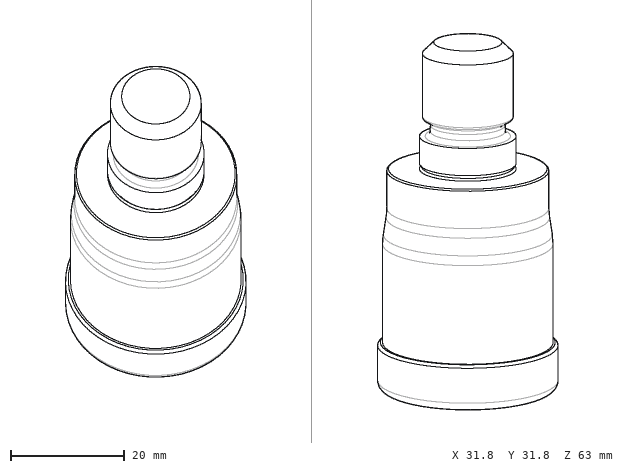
import cadquery as cq
import math

housing_height = 40.0
upper_radius = 14.25
main_radius = 15.0
foot_radius = 15.875
foot_height = 8.45
foot_top_chamfer = 0.5
foot_bottom_fillet = 1.6
upper_edge_chamfer = 0.3
taper_bottom = 27.25
taper_top = 32.05
taper_fillet = 11.2

stud_top = 63.0
shank_radius = 8.0
shank_chamfer = 2.0
shank_lower_edge_fillet = 0.45
collar_radius = 8.5
collar_top = 45.95
neck_radius = 6.6
neck_fillet = 0.9
neck_cone_start = 48.5
neck_cone_angle = 30.0
base_groove_width = 1.0
base_groove_bottom_rise = 0.4
base_groove_depth = 0.4


def circular_edge(radius, height):
    """Selector for the circular edge of the given radius at the given height."""
    tolerance = 0.05
    reach = radius + tolerance
    return cq.selectors.BoxSelector(
        (-reach, -reach, height - tolerance),
        (reach, reach, height + tolerance),
        boundingbox=True,
    ) - cq.selectors.BoxSelector(
        (tolerance - radius, tolerance - radius, height - tolerance),
        (radius - tolerance, radius - tolerance, height + tolerance),
        boundingbox=True,
    )


def turned(outline):
    """Revolve a closed radius/height outline around the Z axis."""
    return cq.Workplane("XZ").polyline(outline).close().revolve(360, (0, 0, 0), (0, 1, 0))


def make_housing():
    outline = [
        (0, 0),
        (foot_radius, 0),
        (foot_radius, foot_height),
        (main_radius, foot_height),
        (main_radius, taper_bottom),
        (upper_radius, taper_top),
        (upper_radius, housing_height),
        (0, housing_height),
    ]
    body = turned(outline)
    body = body.edges(circular_edge(main_radius, taper_bottom)).fillet(taper_fillet)
    body = body.edges(circular_edge(upper_radius, taper_top)).fillet(taper_fillet)
    body = body.edges(circular_edge(foot_radius, 0)).fillet(foot_bottom_fillet)
    body = body.edges(circular_edge(foot_radius, foot_height)).chamfer(foot_top_chamfer)
    return body.edges(circular_edge(upper_radius, housing_height)).chamfer(upper_edge_chamfer)


def make_stud():
    cone_rise = (shank_radius - neck_radius) * math.tan(math.radians(neck_cone_angle))
    cone_end = neck_cone_start + cone_rise
    groove_radius = collar_radius - base_groove_depth
    outline = [
        (0, housing_height),
        (collar_radius, housing_height),
        (groove_radius, housing_height + base_groove_bottom_rise),
        (collar_radius, housing_height + base_groove_width),
        (collar_radius, collar_top),
        (neck_radius, collar_top),
        (neck_radius, neck_cone_start),
        (shank_radius, cone_end),
        (shank_radius, stud_top - shank_chamfer),
        (shank_radius - shank_chamfer, stud_top),
        (0, stud_top),
    ]
    body = turned(outline)
    body = body.edges(circular_edge(neck_radius, collar_top)).fillet(neck_fillet)
    body = body.edges(circular_edge(neck_radius, neck_cone_start)).fillet(neck_fillet)
    return body.edges(circular_edge(shank_radius, cone_end)).fillet(shank_lower_edge_fillet)


housing = make_housing()
stud = make_stud()

result = cq.Compound.makeCompound([housing.val(), stud.val()])